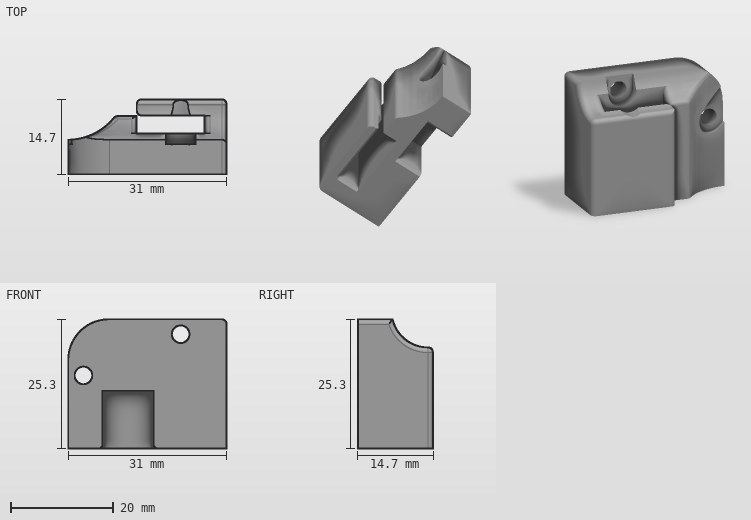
import cadquery as cq
import math

LENGTH = 31.0
DEPTH = 14.7
HEIGHT = 25.3
PLATE_CORNER_RADIUS = 8.0
EDGE_RADIUS = 1.0

PLATE_THICKNESS = 6.8
SIDE_SWEEP_RADIUS = 11.5
TOP_SWEEP_RADIUS = 7.0
HOOK_TOP = 19.8
TOP_SWEEP_Y = 13.65
TOP_SWEEP_Z = HOOK_TOP + TOP_SWEEP_RADIUS

SLOT_LEFT = 13.4
SLOT_RIGHT = 26.65
SLOT_FRONT = 8.05
HOOK_INNER = 11.5
BLOCK_BACK = 11.45

SOCKET_HEIGHT = 6.0
SOCKET_BACK = 12.7
SOCKET_CORNER_RADIUS = 0.25
LEAD_IN = 0.5
FLARE_ANGLE = 45.0

HOLE_DIAMETER = 3.4
HEAD_DIAMETER = 5.85
HEAD_SEAT = 5.9
SCREWS = [(3.0, 14.3, 135.0), (22.0, 22.35, 90.0)]

NOTCH_LEFT = 6.7
NOTCH_RIGHT = 16.75
NOTCH_HEIGHT = 11.3
NOTCH_DEPTH = 5.9

NEAR = 0.03


def box(x0, x1, y0, y1, z0, z1):
    return cq.Workplane("XY").box(x1 - x0, y1 - y0, z1 - z0, centered=False).translate((x0, y0, z0))


def side_sweep_point(y):
    """Point of the left concave sweep at depth y; the sweep starts square to the left side."""
    rise = SIDE_SWEEP_RADIUS + PLATE_THICKNESS - y
    return math.sqrt(SIDE_SWEEP_RADIUS**2 - rise**2), y


def make_body():
    middle = side_sweep_point((PLATE_THICKNESS + BLOCK_BACK) / 2)
    return (
        cq.Workplane("XY")
        .lineTo(LENGTH, 0)
        .lineTo(LENGTH, DEPTH)
        .lineTo(SLOT_LEFT, DEPTH)
        .lineTo(SLOT_LEFT, BLOCK_BACK)
        .lineTo(*side_sweep_point(BLOCK_BACK))
        .threePointArc(middle, (0, PLATE_THICKNESS))
        .close()
        .extrude(HEIGHT)
    )


def top_sweep_cutter():
    """Concave hollow over the hook, running along X."""
    plate_top_y = TOP_SWEEP_Y - math.sqrt(TOP_SWEEP_RADIUS**2 - (TOP_SWEEP_Z - HEIGHT) ** 2)
    middle_y = (plate_top_y + TOP_SWEEP_Y) / 2
    middle_z = TOP_SWEEP_Z - math.sqrt(TOP_SWEEP_RADIUS**2 - (TOP_SWEEP_Y - middle_y) ** 2)
    return (
        cq.Workplane("YZ")
        .moveTo(plate_top_y, HEIGHT)
        .threePointArc((middle_y, middle_z), (TOP_SWEEP_Y, HOOK_TOP))
        .lineTo(DEPTH - EDGE_RADIUS, HOOK_TOP)
        .radiusArc((DEPTH, HOOK_TOP - EDGE_RADIUS), EDGE_RADIUS)
        .lineTo(DEPTH, HEIGHT)
        .close()
        .extrude(LENGTH)
    )


def screw_cutter(x, z, angle):
    """Through hole plus a head recess that runs out of the plate along the given angle."""
    hole = cq.Workplane("XZ").center(x, z).circle(HOLE_DIAMETER / 2).extrude(-DEPTH)
    head = cq.Workplane("XZ").center(x, z).circle(HEAD_DIAMETER / 2).extrude(-DEPTH)
    run_out = (
        cq.Workplane("XZ")
        .rect(HEIGHT, HEAD_DIAMETER)
        .extrude(-DEPTH)
        .translate((HEIGHT / 2, 0, 0))
        .rotate((0, 0, 0), (0, 1, 0), -angle)
        .translate((x, 0, z))
    )
    return hole.union(head.union(run_out).translate((0, HEAD_SEAT, 0)))


def notch_cutter():
    return (
        cq.Workplane("XZ")
        .moveTo(NOTCH_LEFT - LEAD_IN, 0)
        .lineTo(NOTCH_LEFT, LEAD_IN)
        .lineTo(NOTCH_LEFT, NOTCH_HEIGHT)
        .lineTo(NOTCH_RIGHT, NOTCH_HEIGHT)
        .lineTo(NOTCH_RIGHT, LEAD_IN)
        .lineTo(NOTCH_RIGHT + LEAD_IN, 0)
        .close()
        .extrude(-NOTCH_DEPTH)
    )


def socket_cutter():
    """Socket open towards the free end of the hook, with a flared mouth at the bottom."""
    socket = box(SLOT_LEFT, SLOT_RIGHT, SLOT_FRONT, SOCKET_BACK, 0, SOCKET_HEIGHT)
    socket = socket.edges("|Z and >X and >Y").fillet(SOCKET_CORNER_RADIUS)
    mouth_length = SLOT_RIGHT - SLOT_LEFT + 2 * LEAD_IN
    mouth_width = SOCKET_BACK - SLOT_FRONT + 2 * LEAD_IN
    mouth = cq.Sketch().rect(mouth_length, mouth_width).vertices().fillet(SOCKET_CORNER_RADIUS + LEAD_IN)
    flare = (
        cq.Workplane("XY")
        .center((SLOT_LEFT + SLOT_RIGHT) / 2, (SLOT_FRONT + SOCKET_BACK) / 2)
        .placeSketch(mouth)
        .extrude(LEAD_IN, taper=FLARE_ANGLE)
    )
    flared_region = box(SLOT_LEFT, LENGTH, SLOT_FRONT, DEPTH, 0, LEAD_IN)
    return socket.union(flare.intersect(flared_region))


def corner_cutter():
    """Waste outside the large rounded corner at the top left."""
    return (
        cq.Workplane("XZ")
        .moveTo(0, HEIGHT - PLATE_CORNER_RADIUS)
        .radiusArc((PLATE_CORNER_RADIUS, HEIGHT), PLATE_CORNER_RADIUS)
        .lineTo(0, HEIGHT)
        .close()
        .extrude(-DEPTH)
    )


def round_edges(body, *regions):
    """Round every edge whose centre lies in one of the (x0, x1, y0, y1, z0, z1) regions."""
    edges = []
    for x0, x1, y0, y1, z0, z1 in regions:
        edges += body.edges(cq.selectors.BoxSelector((x0, y0, z0), (x1, y1, z1))).vals()
    return body.newObject(edges).fillet(EDGE_RADIUS)


def round_hook_tip(body):
    """Round the upright edges at the free end of the hook."""
    tip = (SLOT_LEFT - NEAR, SLOT_LEFT + NEAR, HOOK_INNER - NEAR, DEPTH + NEAR, NEAR, HEIGHT - NEAR)
    return round_edges(body, tip)


def round_body(body):
    """Round the block beside the slot, the far slot end and the whole right side."""
    half_height = HEIGHT / 2
    hook_shoulder = HOOK_TOP - EDGE_RADIUS
    top_front = SLOT_FRONT + NEAR
    return round_edges(
        body,
        (EDGE_RADIUS, SLOT_LEFT + NEAR, top_front, BLOCK_BACK + NEAR, hook_shoulder, HEIGHT),
        (EDGE_RADIUS, SLOT_LEFT - NEAR, BLOCK_BACK - NEAR, BLOCK_BACK + NEAR, NEAR, half_height),
        (SLOT_RIGHT - NEAR, SLOT_RIGHT + NEAR, top_front, HOOK_INNER - NEAR, hook_shoulder, HEIGHT),
        (LENGTH - NEAR, LENGTH + NEAR, NEAR, DEPTH + NEAR, NEAR, HEIGHT + NEAR),
    )


result = make_body().cut(box(SLOT_LEFT, SLOT_RIGHT, SLOT_FRONT, HOOK_INNER, 0, HEIGHT))
result = round_hook_tip(result).cut(top_sweep_cutter())
result = round_body(result)
result = result.cut(corner_cutter()).cut(notch_cutter()).cut(socket_cutter())
for screw in SCREWS:
    result = result.cut(screw_cutter(*screw))